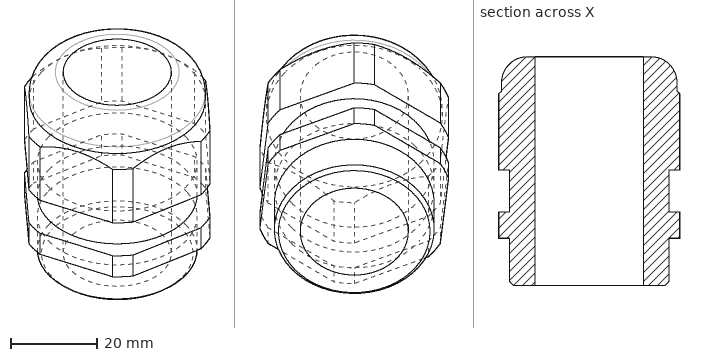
import cadquery as cq
import math

height = 53.0
across_flats = 42.0
across_corners = 46.0
body_diameter = 37.0
dome_diameter = 40.75
bore_diameter = 25.0
sharp_corner_diameter = across_flats / math.cos(math.pi / 6)

collar_bottom = 10.9
collar_top = 17.05
nut_bottom = 26.7
nut_corner_top = 42.35

entry_chamfer = 0.95
dome_radius = 6.05

crown_height = (across_corners - dome_diameter) / 2
nut_top = nut_corner_top + crown_height


def cylinder(diameter, bottom, top):
    return cq.Workplane("XY").workplane(offset=bottom).circle(diameter / 2).extrude(top - bottom)


def rounded_hexagon(bottom, top, crown=0):
    """Hexagon with flats facing +Y and -Y, round corners and an optional 45 degree crown."""
    hexagon = (
        cq.Workplane("XY")
        .workplane(offset=bottom)
        .polygon(6, sharp_corner_diameter)
        .extrude(top - bottom)
    )
    envelope = cylinder(across_corners, bottom, top)
    if crown > 0:
        envelope = envelope.faces(">Z").edges().chamfer(crown)
    return hexagon.intersect(envelope)


body = cylinder(body_diameter, 0, nut_top).faces("<Z").edges().chamfer(entry_chamfer)
collar = rounded_hexagon(collar_bottom, collar_top)
nut = rounded_hexagon(nut_bottom, nut_top, crown_height)
dome = cylinder(dome_diameter, nut_bottom, height).faces(">Z").edges().fillet(dome_radius)
bore = cylinder(bore_diameter, 0, height)

result = body.union(collar).union(nut).union(dome).cut(bore)